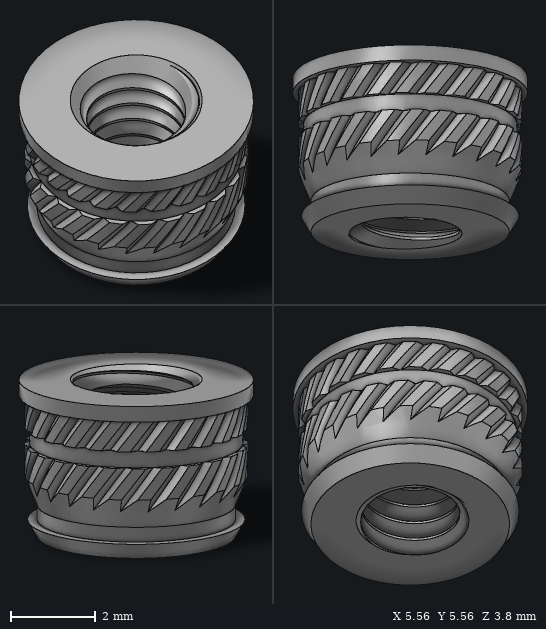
import cadquery as cq
import math


TOTAL_HEIGHT = 3.8
LIP_HEIGHT = 0.4
CONE_START_Z = 0.76
KNURL_HEIGHT = 0.76
LOWER_KNURL_Z = 1.49
LOWER_KNURL_TOP_Z = LOWER_KNURL_Z + KNURL_HEIGHT
FLANGE_Z = 3.42
UPPER_KNURL_Z = FLANGE_Z - KNURL_HEIGHT

FLANGE_RADIUS = 2.78
KNURL_RADIUS = 2.65
NECK_RADIUS = 2.525
PILOT_RADIUS = 2.35
LIP_RADIUS = 2.58

GROOVE_COUNT = 24
GROOVE_ROOT_RADIUS = 2.52
GROOVE_WIDTH_ANGLE = 8.2
GROOVE_TWIST_PER_MM = 16.55
GROOVE_PITCH_ANGLE = 360 / GROOVE_COUNT
GROOVE_ANGLE_AT_CONE_START = 0.37
ENVELOPE_CLEARANCE = 0.1

THREAD_PITCH = 0.5
THREAD_MAJOR_RADIUS = 1.5
THREAD_MINOR_RADIUS = 1.172
THREAD_ROOT_WIDTH = 0.05
THREAD_FLANK_ANGLE = 30
THREAD_START_Z = -0.624
THREAD_START_ANGLE = 180
THREAD_TURNS = 9
THREAD_CUTTER_OVERLAP = 0.02
CHAMFER_RADIUS = 1.56
CHAMFER_DEPTH = CHAMFER_RADIUS - THREAD_MINOR_RADIUS
SLEEVE_RADIUS = 2.0


def polar(radius, angle):
    """Point at a radius and an angle in degrees."""
    return (radius * math.cos(math.radians(angle)), radius * math.sin(math.radians(angle)))


def revolve_outline(outline):
    """Turn a closed (radius, z) outline around the Z axis."""
    return cq.Workplane("XZ").polyline(outline).close().revolve(360, (0, 0), (0, 1))


def make_foot():
    """Flared lip and the plain pilot above it."""
    return revolve_outline([
        (0, 0),
        (PILOT_RADIUS, 0),
        (LIP_RADIUS, LIP_HEIGHT),
        (PILOT_RADIUS, LIP_HEIGHT),
        (PILOT_RADIUS, CONE_START_Z),
        (0, CONE_START_Z),
    ])


def make_disc(radius, bottom_z, top_z):
    """Plain cylinder between two levels."""
    return cq.Workplane("XY", origin=(0, 0, bottom_z)).circle(radius).extrude(top_z - bottom_z)


def make_knurl(bottom_z, top_z):
    """Twisted disc with V-grooves; the grooves of all knurls lie on the same helices."""
    start_angle = GROOVE_ANGLE_AT_CONE_START + GROOVE_TWIST_PER_MM * (bottom_z - CONE_START_Z)
    half_groove = GROOVE_WIDTH_ANGLE / 2
    plane = cq.Workplane("XY", origin=(0, 0, bottom_z))
    outline = plane.moveTo(*polar(KNURL_RADIUS, start_angle - half_groove))
    for index in range(GROOVE_COUNT):
        root_angle = start_angle + index * GROOVE_PITCH_ANGLE
        land_start = root_angle + half_groove
        land_end = root_angle + GROOVE_PITCH_ANGLE - half_groove
        outline = (
            outline.lineTo(*polar(GROOVE_ROOT_RADIUS, root_angle))
            .lineTo(*polar(KNURL_RADIUS, land_start))
            .threePointArc(
                polar(KNURL_RADIUS, (land_start + land_end) / 2),
                polar(KNURL_RADIUS, land_end),
            )
        )
    height = top_z - bottom_z
    return outline.close().twistExtrude(height, GROOVE_TWIST_PER_MM * height)


def make_lower_knurl():
    """Lower knurl trimmed to the entry cone below it."""
    outer_radius = KNURL_RADIUS + ENVELOPE_CLEARANCE
    envelope = revolve_outline([
        (0, CONE_START_Z),
        (PILOT_RADIUS, CONE_START_Z),
        (KNURL_RADIUS, LOWER_KNURL_Z),
        (outer_radius, LOWER_KNURL_Z),
        (outer_radius, LOWER_KNURL_TOP_Z),
        (0, LOWER_KNURL_TOP_Z),
    ])
    return make_knurl(CONE_START_Z, LOWER_KNURL_TOP_Z).intersect(envelope)


def make_body():
    """Solid insert, stacked from the bottom up."""
    return (
        make_foot()
        .union(make_lower_knurl())
        .union(make_disc(NECK_RADIUS, LOWER_KNURL_TOP_Z, UPPER_KNURL_Z))
        .union(make_knurl(UPPER_KNURL_Z, FLANGE_Z))
        .union(make_disc(FLANGE_RADIUS, FLANGE_Z, TOTAL_HEIGHT))
    )


def make_bore():
    """Plain hole at the thread crests with a 45 degree countersink at the top."""
    return revolve_outline([
        (0, 0),
        (THREAD_MINOR_RADIUS, 0),
        (THREAD_MINOR_RADIUS, TOTAL_HEIGHT - CHAMFER_DEPTH),
        (CHAMFER_RADIUS, TOTAL_HEIGHT),
        (0, TOTAL_HEIGHT),
    ])


def make_thread_cutter():
    """Helical trapezoid bar from below the bottom face up into the countersink."""
    inner_radius = THREAD_MINOR_RADIUS - THREAD_CUTTER_OVERLAP
    root_half = THREAD_ROOT_WIDTH / 2
    flank_depth = THREAD_MAJOR_RADIUS - inner_radius
    mouth_half = root_half + flank_depth * math.tan(math.radians(THREAD_FLANK_ANGLE))

    def helix(radius, offset):
        """Edge of the bar, offset along Z from the middle of the groove."""
        edge = cq.Wire.makeHelix(THREAD_PITCH, THREAD_TURNS * THREAD_PITCH, radius)
        return edge.translate(cq.Vector(0, 0, THREAD_START_Z + offset))

    edges = [
        helix(inner_radius, -mouth_half),
        helix(THREAD_MAJOR_RADIUS, -root_half),
        helix(THREAD_MAJOR_RADIUS, root_half),
        helix(inner_radius, mouth_half),
    ]
    next_edges = edges[1:] + edges[:1]
    faces = [cq.Face.makeRuledSurface(edge, next_edge) for edge, next_edge in zip(edges, next_edges)]
    for end in (0, 1):
        corners = [edge.positionAt(end) for edge in edges]
        faces.append(cq.Face.makeFromWires(cq.Wire.makePolygon(corners, close=True)))
    bar = cq.Workplane(obj=cq.Solid.makeSolid(cq.Shell.makeShell(faces)))
    return bar.rotate((0, 0, 0), (0, 0, 1), THREAD_START_ANGLE)


def make_threaded_sleeve():
    """Core of the insert that holds the thread; cutting it alone keeps the boolean operations simple."""
    return make_disc(SLEEVE_RADIUS, 0, TOTAL_HEIGHT).cut(make_bore()).cut(make_thread_cutter())


outer_shell = make_body().cut(make_disc(SLEEVE_RADIUS, 0, TOTAL_HEIGHT))
result = outer_shell.union(make_threaded_sleeve())